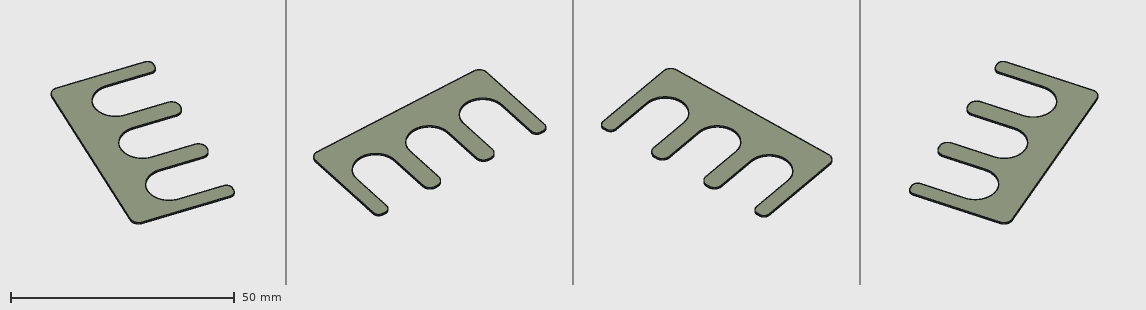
import cadquery as cq

length = 48.0
depth = 25.0
thickness = 0.5

slot_count = 3
slot_width = 10.5
slot_depth = 17.75
inner_finger_width = 4.5
slot_pitch = slot_width + inner_finger_width

base_corner_radius = 2.0
outer_tip_radius = 1.5
inner_tip_radius = 2.0

slot_radius = slot_width / 2
slot_centers = [(i - (slot_count - 1) / 2) * slot_pitch for i in range(slot_count)]
back_edge = depth / 2
slot_center_y = back_edge - slot_depth + slot_radius


def make_plate():
    """Rectangular plate centred in X and Y, resting on Z = 0."""
    return cq.Workplane("XY").box(length, depth, thickness, centered=(True, True, False))


def make_slot(center_x):
    """Slot with a semicircular end, running out through the +Y edge."""
    return (
        cq.Workplane("XY")
        .moveTo(center_x - slot_radius, back_edge)
        .lineTo(center_x - slot_radius, slot_center_y)
        .threePointArc(
            (center_x, slot_center_y - slot_radius),
            (center_x + slot_radius, slot_center_y),
        )
        .lineTo(center_x + slot_radius, back_edge)
        .close()
        .extrude(thickness)
    )


def round_corners(plate):
    """Round the base corners, then the tips of the outer and inner fingers."""
    plate = plate.edges("|Z and <Y").fillet(base_corner_radius)

    plate = (
        plate.edges("|Z and >Y")
        .filter(lambda edge: abs(edge.Center().x) > slot_centers[-1])
        .fillet(outer_tip_radius)
    )
    return (
        plate.edges("|Z and >Y")
        .filter(lambda edge: abs(edge.Center().x) < slot_centers[-1])
        .fillet(inner_tip_radius)
    )


result = make_plate()
for center_x in slot_centers:
    result = result.cut(make_slot(center_x))
result = round_corners(result)